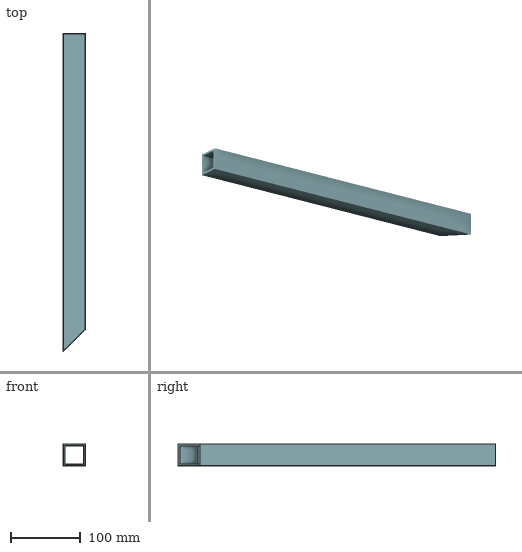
import cadquery as cq

tube_side = 31.75
tube_length = 457.2
wall = 2.7686

half_side = tube_side / 2
half_length = tube_length / 2
bore_side = tube_side - 2 * wall
miter_depth = tube_side


def mitred_bar():
    """Solid square bar whose longest edge lies on the -X side."""
    plan = [
        (-half_side, -half_length),
        (half_side, -half_length + miter_depth),
        (half_side, half_length),
        (-half_side, half_length),
    ]
    return cq.Workplane("XY").polyline(plan).close().extrude(half_side, both=True)


def bore():
    """Square passage through the full length of the tube."""
    return cq.Workplane("XY").box(bore_side, tube_length, bore_side)


result = mitred_bar().cut(bore())